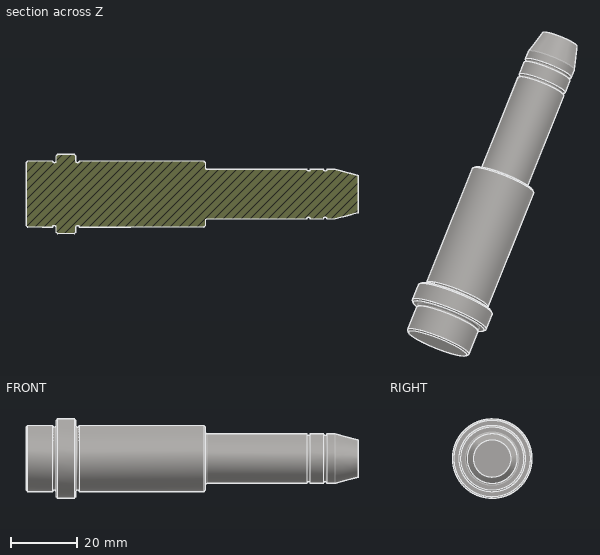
import cadquery as cq
import math

LENGTH = 100.0
BODY_RADIUS = 20.0 / 2
FLANGE_RADIUS = 24.0 / 2
SHANK_RADIUS = 15.0 / 2

FLANGE_START = 9.0
FLANGE_WIDTH = 6.0
FLANGE_END = FLANGE_START + FLANGE_WIDTH
BODY_END = 54.0

HEAD_CHAMFER = 0.5
FLANGE_CHAMFER = 0.5
BODY_CHAMFER = 0.5

GROOVE_RADIUS = 0.5
GROOVE_WIDTH = 2 * GROOVE_RADIUS
RING_GROOVE_STARTS = (84.5, 89.5)

SHANK_FILLET = 0.5

TIP_START = 93.0
TIP_ANGLE = math.radians(15)


def cylinder(start, end, radius):
    """Cylinder along X between two axial stations."""
    return cq.Workplane("YZ", origin=(start, 0, 0)).circle(radius).extrude(end - start)


def groove(start, radius):
    """Ring with a round section, centred on the surface of a cylinder."""
    return cq.Workplane("XY").add(
        cq.Solid.makeTorus(
            radius, GROOVE_RADIUS, cq.Vector(start + GROOVE_RADIUS, 0, 0), cq.Vector(1, 0, 0)
        )
    )


def tip():
    """Cone narrowing from the shank to the flat end."""
    end_radius = SHANK_RADIUS - (LENGTH - TIP_START) * math.tan(TIP_ANGLE)
    return (
        cq.Workplane("XY")
        .moveTo(TIP_START, 0)
        .lineTo(TIP_START, SHANK_RADIUS)
        .lineTo(LENGTH, end_radius)
        .lineTo(LENGTH, 0)
        .close()
        .revolve(360, (0, 0, 0), (1, 0, 0))
    )


def body_and_flange():
    """Thick cylinder with chamfered ends, carrying the flange between two grooves."""
    body = cylinder(0, BODY_END, BODY_RADIUS)
    body = body.faces("<X").chamfer(HEAD_CHAMFER)
    body = body.faces(">X").chamfer(BODY_CHAMFER)
    for start in (FLANGE_START - GROOVE_WIDTH, FLANGE_END):
        body = body.cut(groove(start, BODY_RADIUS))
    flange = cylinder(FLANGE_START, FLANGE_END, FLANGE_RADIUS).edges().chamfer(FLANGE_CHAMFER)
    return body.union(flange)


def shank_fillet():
    """Concave ring from the body's end face to the shank."""
    outer = SHANK_RADIUS + SHANK_FILLET
    end = BODY_END + SHANK_FILLET
    mid_offset = SHANK_FILLET * math.cos(math.radians(45))
    return (
        cq.Workplane("XY")
        .moveTo(BODY_END, 0)
        .lineTo(BODY_END, outer)
        .threePointArc((end - mid_offset, outer - mid_offset), (end, SHANK_RADIUS))
        .lineTo(end, 0)
        .close()
        .revolve(360, (0, 0, 0), (1, 0, 0))
    )


def shank():
    """Slim cylinder with a filleted root, ring grooves and the conical tip."""
    pin = cylinder(BODY_END, TIP_START, SHANK_RADIUS).union(shank_fillet())
    for start in RING_GROOVE_STARTS:
        pin = pin.cut(groove(start, SHANK_RADIUS))
    return pin.union(tip())


result = body_and_flange().union(shank())